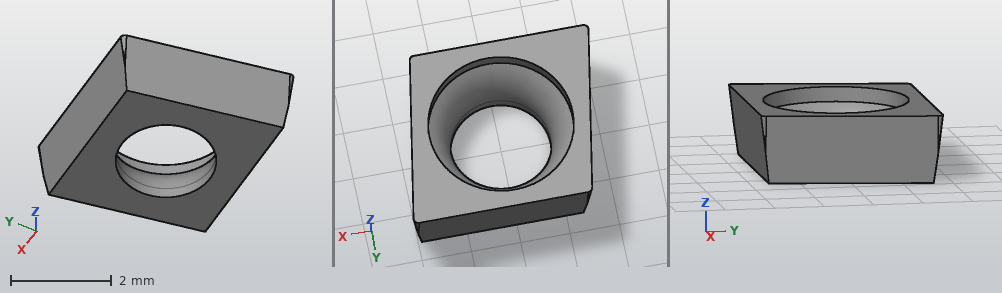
import cadquery as cq
import math

thickness = 1.39
inscribed_diameter = 3.57
corner_angle = 80.0
relief_angle = 7.0
nose_radius = 0.1

seat_diameter = 2.9
seat_depth = 0.30
throat_radius = 1.0
bore_diameter = 2.0

nose_depth = nose_radius / math.tan(math.radians(relief_angle))


def rhombus_corners(inradius):
    """Corners of the rhombus whose sides lie at the given distance from the centre."""
    corner = math.radians(corner_angle)
    half_side = inradius / math.sin(corner)
    lean = inradius / math.tan(corner)
    return [
        (-half_side - lean, -inradius),
        (half_side - lean, -inradius),
        (half_side + lean, inradius),
        (-half_side + lean, inradius),
    ]


def flank_body():
    """Sharp-cornered rhombus that narrows downwards by the relief angle."""
    top_face = cq.Workplane("XY", origin=(0, 0, thickness))
    outline = top_face.polyline(rhombus_corners(inscribed_diameter / 2)).close()
    return outline.extrude(-thickness, taper=relief_angle)


def step_towards(start, end, distance):
    """Point at a distance from start along the line to end."""
    length = math.dist(start, end)
    return tuple(a + (b - a) * distance / length for a, b in zip(start, end))


def nose_cutter(previous, corner, following, centre, half_angle):
    """Corner material outside one conical nose, narrowing to a point on the corner edge."""
    tangent_length = nose_radius / math.tan(half_angle)
    first = step_towards(corner, previous, tangent_length)
    second = step_towards(corner, following, tangent_length)
    middle = step_towards(centre, corner, nose_radius)
    outline = (
        cq.Workplane("XY", origin=(0, 0, thickness))
        .moveTo(*first)
        .lineTo(*corner)
        .lineTo(*second)
        .threePointArc(middle, first)
        .close()
        .wires()
        .val()
    )
    apex = cq.Vertex.makeVertex(*centre, thickness - nose_depth)
    return cq.occ_impl.shapes.loft(outline, apex, ruled=True, cap=True)


def round_noses(body):
    """Round the four corners with cones that fade out down the corner edges."""
    corners = rhombus_corners(inscribed_diameter / 2)
    centres = rhombus_corners(inscribed_diameter / 2 - nose_radius)
    acute = math.radians(corner_angle) / 2
    obtuse = math.pi / 2 - acute
    for index, (corner, centre) in enumerate(zip(corners, centres)):
        previous = corners[index - 1]
        following = corners[(index + 1) % len(corners)]
        half_angle = obtuse if index % 2 else acute
        cutter = nose_cutter(previous, corner, following, centre, half_angle)
        body = body.cut(cq.Workplane(cutter))
    return body


def screw_hole():
    """Revolved hole whose throat arc meets the bore tangentially."""
    seat_radius = seat_diameter / 2
    bore_radius = bore_diameter / 2
    arc_centre = bore_radius + throat_radius
    throat_height = math.sqrt(throat_radius**2 - (arc_centre - seat_radius) ** 2)
    seat_floor = thickness - seat_depth
    bore_top = seat_floor - throat_height
    half_sweep = math.asin(throat_height / throat_radius) / 2
    arc_middle = (
        arc_centre - throat_radius * math.cos(half_sweep),
        bore_top + throat_radius * math.sin(half_sweep),
    )
    return (
        cq.Workplane("XZ")
        .lineTo(bore_radius, 0)
        .lineTo(bore_radius, bore_top)
        .threePointArc(arc_middle, (seat_radius, seat_floor))
        .lineTo(seat_radius, thickness)
        .lineTo(0, thickness)
        .close()
        .revolve(360, (0, 0), (0, 1))
    )


result = round_noses(flank_body()).cut(screw_hole()).solids()